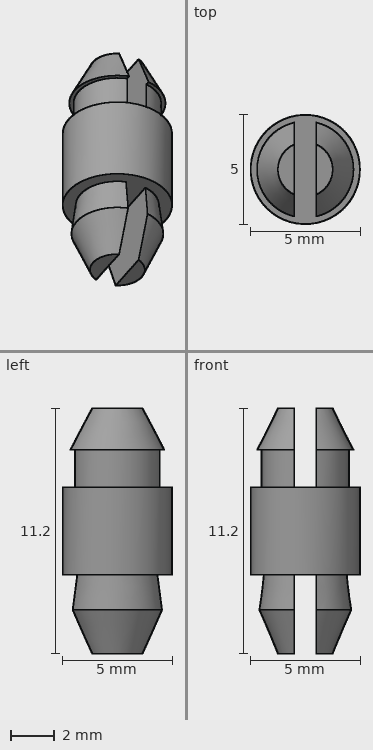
import cadquery as cq

total_length = 11.2
collar_diameter = 5.0
collar_length = 4.0
prong_length = (total_length - collar_length) / 2

neck_diameter = 4.0
head_diameter = 4.4
head_length = 1.9

flare_root_diameter = 3.8
flare_diameter = 4.2
nose_length = 2.0

tip_diameter = 2.5
slot_width = 1.0

top_z = total_length / 2
bottom_z = -top_z
collar_top_z = collar_length / 2
collar_bottom_z = -collar_top_z
head_base_z = top_z - head_length
flare_z = bottom_z + nose_length


def turned_body():
    """Solid of revolution about Z, before slotting."""
    profile = [
        (0, bottom_z),
        (tip_diameter / 2, bottom_z),
        (flare_diameter / 2, flare_z),
        (flare_root_diameter / 2, collar_bottom_z),
        (collar_diameter / 2, collar_bottom_z),
        (collar_diameter / 2, collar_top_z),
        (neck_diameter / 2, collar_top_z),
        (neck_diameter / 2, head_base_z),
        (head_diameter / 2, head_base_z),
        (tip_diameter / 2, top_z),
        (0, top_z),
    ]
    return cq.Workplane("XZ").polyline(profile).close().revolve(360, (0, 0), (0, 1))


def prong_slot(base_z):
    """Cutter along Y that splits one end into two prongs."""
    return (
        cq.Workplane("XY", origin=(0, 0, base_z))
        .rect(slot_width, collar_diameter)
        .extrude(prong_length)
    )


result = turned_body()
for slot_base_z in (bottom_z, collar_top_z):
    result = result.cut(prong_slot(slot_base_z))